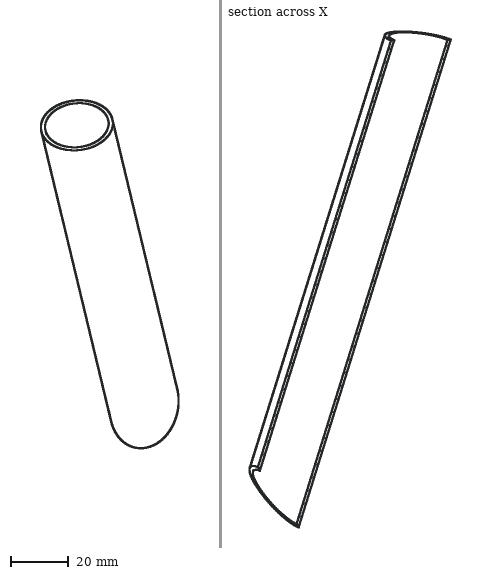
import cadquery as cq
import math

height = 170.4
depth = 81.1
outer_diameter = 25.0
wall = 1.5
tilt = 21.0
front_rim_height = 166.3

lean = math.tan(math.radians(tilt))
level_width = outer_diameter / math.cos(math.radians(tilt))
bore_diameter = outer_diameter - 2 * wall
tip_y = front_rim_height * lean
back_rim_y = level_width - (height - front_rim_height) * lean
heel_height = front_rim_height - (depth - level_width) / lean


def tilted_rod(diameter):
    """Round rod along the tube axis, overlong at both ends."""
    length = 2 * height
    axis_y = tip_y + level_width / 2
    return (
        cq.Workplane("XY")
        .circle(diameter / 2)
        .extrude(length, both=True)
        .rotate((0, 0, 0), (1, 0, 0), tilt)
        .translate((0, axis_y, 0))
    )


def end_cut_envelope():
    """Prism along X whose sloping ends trim the tube; its sides clear the tube walls."""
    margin = outer_diameter

    def extend(start, end):
        """Move end away from start, along their line, by the margin."""
        span = math.dist(start, end)
        return tuple(e + (e - s) * margin / span for s, e in zip(start, end))

    front_rim = (0, front_rim_height)
    back_rim = (back_rim_y, height)
    heel = (depth, heel_height)
    tip = (tip_y, 0)
    return (
        cq.Workplane("YZ")
        .polyline([
            extend(back_rim, front_rim),
            extend(front_rim, back_rim),
            extend(tip, heel),
            extend(heel, tip),
        ])
        .close()
        .extrude(outer_diameter, both=True)
    )


tube = tilted_rod(outer_diameter).cut(tilted_rod(bore_diameter))
result = tube.intersect(end_cut_envelope())